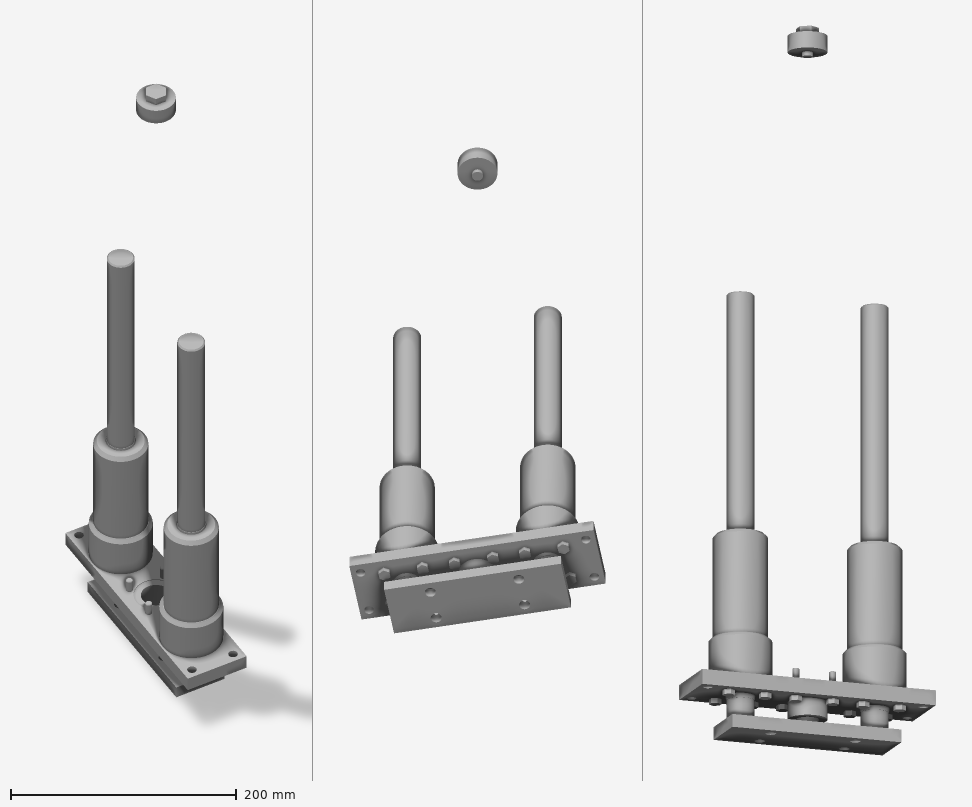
import cadquery as cq

rod_spacing = 126.5
rod_diameter = 25.0
rod_top = 403.0
rod_chamfer = 1.0
carriage_length = 159.0
carriage_width = 49.0
carriage_thickness = 12.0
neck_diameter = 21.0
carriage_hole_diameter = 10.0
carriage_hole_x = 40.0
carriage_hole_y = 14.5

plate_length = 220.0
plate_width = 60.0
plate_bottom = 35.0
plate_top = 49.0
corner_hole_diameter = 8.5
corner_hole_inset_x = 8.5
corner_hole_inset_y = 9.0

collar_diameter = 57.0
collar_top = 88.0
barrel_diameter = 49.0
barrel_top = 183.0
sleeve_chamfer = 3.0
lip_base_diameter = 27.0
lip_tip_diameter = 25.5
upper_lip_height = 2.0
lower_lip_height = 4.0

seat_diameter = 40.0
seat_depth = 0.5
hub_diameter = 35.0
hub_bottom = 19.5
hub_bore = 27.0
hub_floor_thickness = 3.0
hub_floor = hub_bottom + hub_floor_thickness

screw_spacing = 34.5
screw_diameter = 6.2
screw_tip = 60.5
screw_chamfer = 0.5
screw_head_across_flats = 10.0
screw_head_length = 4.5

coupling_top = 652.5
hex_across_flats = 17.5
hex_height = 7.0
disc_diameter = 35.0
disc_height = 15.0
pin_diameter = 10.0
pin_length = 4.0

rod_places = [(-rod_spacing / 2, 0), (rod_spacing / 2, 0)]


def cylinder(diameter, bottom, top, places=((0, 0),)):
    """Upright cylinders between two heights, one at each place."""
    base = cq.Workplane("XY", origin=(0, 0, bottom))
    return base.pushPoints(places).circle(diameter / 2).extrude(top - bottom)


def plate(length, width, bottom, top):
    """Rectangular plate centred on the Z axis."""
    base = cq.Workplane("XY", origin=(0, 0, bottom))
    return base.rect(length, width).extrude(top - bottom)


def square_places(x, y):
    """The four corners of a centred rectangle with half sides x and y."""
    return [(-x, -y), (x, -y), (x, y), (-x, y)]


def make_lip(x, y, base, height, direction):
    """Tapered lip round a rod, pointing up (direction 1) or down (direction -1)."""
    return cq.Workplane(
        cq.Solid.makeCone(
            lip_base_diameter / 2,
            lip_tip_diameter / 2,
            height,
            pnt=cq.Vector(x, y, base),
            dir=cq.Vector(0, 0, direction),
        )
    )


def hexagon_prism(across_flats, bottom, top, places=((0, 0),)):
    """Upright hexagonal prisms with two flats facing +X and -X, one at each place."""
    return (
        cq.Workplane("XY", origin=(0, 0, bottom))
        .pushPoints(places)
        .polygon(6, across_flats, circumscribed=True)
        .extrude(top - bottom)
    )


def add_sleeves(guide):
    """Stepped sleeves on the plate, bored for the rods, with a lip at each end."""
    collars = cylinder(collar_diameter, plate_top, collar_top, rod_places)
    barrels = cylinder(barrel_diameter, plate_top, barrel_top, rod_places)
    guide = guide.union(collars.faces(">Z").chamfer(sleeve_chamfer))
    guide = guide.union(barrels.faces(">Z").chamfer(sleeve_chamfer))
    for x, y in rod_places:
        guide = guide.union(make_lip(x, y, barrel_top, upper_lip_height, 1))
        guide = guide.union(make_lip(x, y, plate_bottom, lower_lip_height, -1))
    return guide.cut(cylinder(rod_diameter, 0, rod_top, rod_places))


def add_hub(guide):
    """Cup-shaped hub under the plate, open at the top through a shallow seat."""
    hub = cylinder(hub_diameter, hub_bottom, plate_bottom)
    bore = cylinder(hub_bore, hub_floor, plate_top)
    seat = cylinder(seat_diameter, plate_top - seat_depth, plate_top)
    return guide.union(hub).cut(bore).cut(seat)


def add_screws(guide):
    """Screws through the plate round the hub, with equal hexagon heads also below each sleeve."""
    shank_places = square_places(screw_spacing / 2, screw_spacing / 2)
    head_centers = (-rod_spacing / 2, 0, rod_spacing / 2)
    head_places = [(center_x + x, y) for center_x in head_centers for x, y in shank_places]
    shanks = cylinder(screw_diameter, plate_bottom, screw_tip, shank_places)
    head_bottom = plate_bottom - screw_head_length
    heads = hexagon_prism(screw_head_across_flats, head_bottom, plate_bottom, head_places)
    return guide.union(shanks.faces(">Z").chamfer(screw_chamfer)).union(heads)


def make_guide():
    guide = plate(plate_length, plate_width, plate_bottom, plate_top)
    corners = square_places(plate_length / 2 - corner_hole_inset_x, plate_width / 2 - corner_hole_inset_y)
    guide = guide.cut(cylinder(corner_hole_diameter, plate_bottom, plate_top, corners))
    return add_screws(add_hub(add_sleeves(guide)))


def make_carriage():
    carriage = plate(carriage_length, carriage_width, 0, carriage_thickness)
    rods = cylinder(rod_diameter, carriage_thickness, rod_top, rod_places).faces(">Z").chamfer(rod_chamfer)
    neck = cylinder(neck_diameter, carriage_thickness, hub_bottom)
    hole_places = square_places(carriage_hole_x, carriage_hole_y)
    holes = cylinder(carriage_hole_diameter, 0, carriage_thickness, hole_places)
    return carriage.union(rods).union(neck).cut(holes)


def make_coupling():
    disc_top = coupling_top - hex_height
    disc_bottom = disc_top - disc_height
    disc = cylinder(disc_diameter, disc_bottom, disc_top)
    hexagon = hexagon_prism(hex_across_flats, disc_top, coupling_top)
    pin = cylinder(pin_diameter, disc_bottom - pin_length, disc_bottom)
    return disc.union(hexagon).union(pin)


guide = make_guide().solids()
carriage = make_carriage().solids()
coupling = make_coupling().solids()
result = cq.Compound.makeCompound([guide.val(), carriage.val(), coupling.val()])